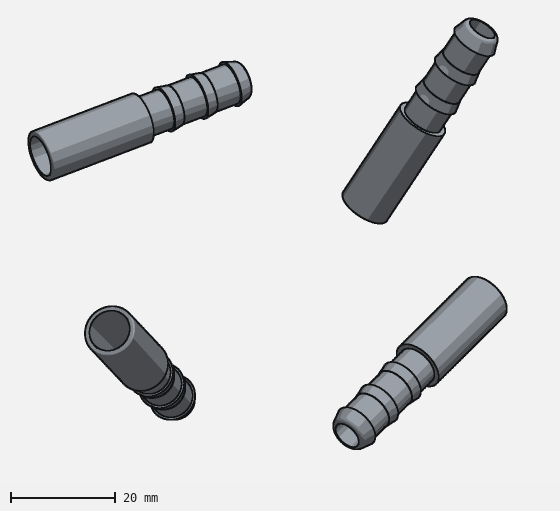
import cadquery as cq
import math

total_length = 44.5
sleeve_radius = 10.0 / 2
sleeve_length = 22.0
mouth_rounding = 0.3

neck_radius = 4.0
barb_radius = 4.5
barb_root_radius = 4.1
barb_length = 2.25
neck_gap = 5.0
barb_count = 2

tip_barb_length = 3.0
tip_face_radius = 3.55
tip_rounding = 1.02

socket_radius = 4.0
bore_radius = 2.75
socket_depth = 20.02
taper_angle = 118.0
taper_length = (socket_radius - bore_radius) / math.tan(math.radians(taper_angle / 2))

rear_y = -total_length / 2
tip_y = rear_y + total_length
shoulder_y = rear_y + sleeve_length


def frustum(start_y, length, start_radius, end_radius):
    """Solid cone or cylinder along +Y from start_y."""
    end_y = start_y + length
    outline = [(0, start_y), (start_radius, start_y), (end_radius, end_y), (0, end_y)]
    return cq.Workplane("XY").polyline(outline).close().revolve(360, (0, 0), (0, 1))


def make_sleeve():
    sleeve = frustum(rear_y, sleeve_length, sleeve_radius, sleeve_radius)
    return sleeve.faces("<Y").edges().fillet(mouth_rounding)


def make_tip_barb():
    tip = frustum(tip_y - tip_barb_length, tip_barb_length, barb_radius, tip_face_radius)
    return tip.faces(">Y").edges().fillet(tip_rounding)


def make_spigot():
    neck_length = tip_y - tip_barb_length - shoulder_y
    spigot = frustum(shoulder_y, neck_length, neck_radius, neck_radius).union(make_tip_barb())
    for index in range(barb_count):
        barb_y = shoulder_y + neck_gap + index * (barb_length + neck_gap)
        spigot = spigot.union(frustum(barb_y, barb_length, barb_radius, barb_root_radius))
    return spigot


def make_passage():
    taper_y = rear_y + socket_depth
    bore_y = taper_y + taper_length
    socket = frustum(rear_y, socket_depth, socket_radius, socket_radius)
    taper = frustum(taper_y, taper_length, socket_radius, bore_radius)
    bore = frustum(bore_y, tip_y - bore_y, bore_radius, bore_radius)
    return socket.union(taper).union(bore)


result = make_sleeve().union(make_spigot()).cut(make_passage())